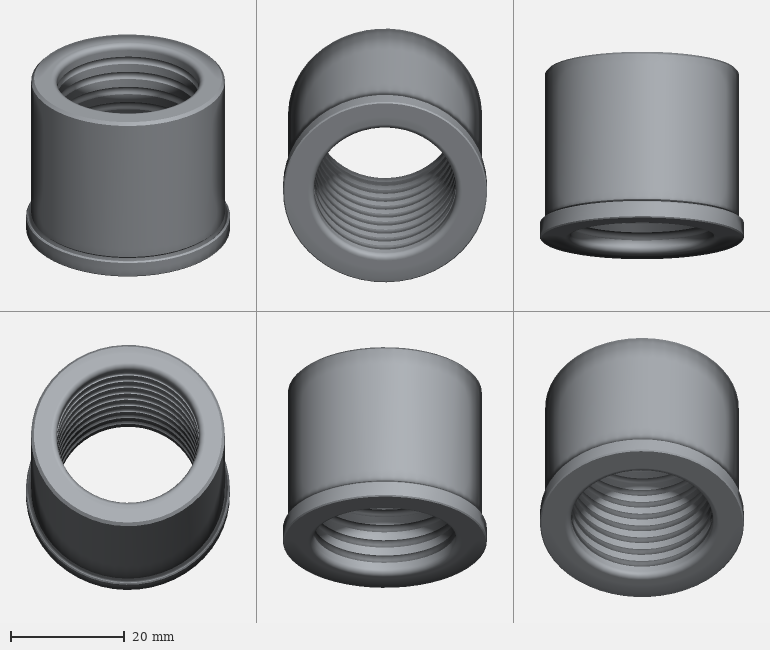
import cadquery as cq

height = 30.0
flange_radius = 17.9
flange_height = 3.0
flange_edge = 0.2
body_radius = 17.0
top_chamfer = 0.5

body_base = 3.1
body_base_chamfer = 0.4
neck_radius = body_radius - body_base_chamfer
rim_width = 0.15
rim_inner_radius = flange_radius - flange_edge - rim_width
undercut_depth = 0.4

bore_radius = 12.5
mouth_radius = 1.0
groove_count = 9
groove_pitch = height / (groove_count + 1)
groove_radius = 0.7


def outer_form():
    """Revolved solid: flange, V-shaped undercut and chamfered body."""
    profile = [
        (0, 0),
        (flange_radius - flange_edge, 0),
        (flange_radius, flange_edge),
        (flange_radius, flange_height - flange_edge),
        (flange_radius - flange_edge, flange_height),
        (rim_inner_radius, flange_height),
        (rim_inner_radius - undercut_depth, flange_height - undercut_depth),
        (neck_radius, body_base),
        (body_radius, body_base + body_base_chamfer),
        (body_radius, height - top_chamfer),
        (body_radius - top_chamfer, height),
        (0, height),
    ]
    return cq.Workplane("XZ").polyline(profile).close().revolve(360, (0, 0, 0), (0, 1, 0))


def bore_groove(level):
    """Torus centred on the bore wall, cutting a half-round groove."""
    return cq.Workplane(cq.Solid.makeTorus(bore_radius, groove_radius, cq.Vector(0, 0, level)))


bore = cq.Workplane("XY").circle(bore_radius).extrude(height)
bore_mouths = cq.selectors.RadiusNthSelector(0)
result = outer_form().cut(bore).edges(bore_mouths).fillet(mouth_radius)

for index in range(groove_count):
    result = result.cut(bore_groove((index + 1) * groove_pitch))